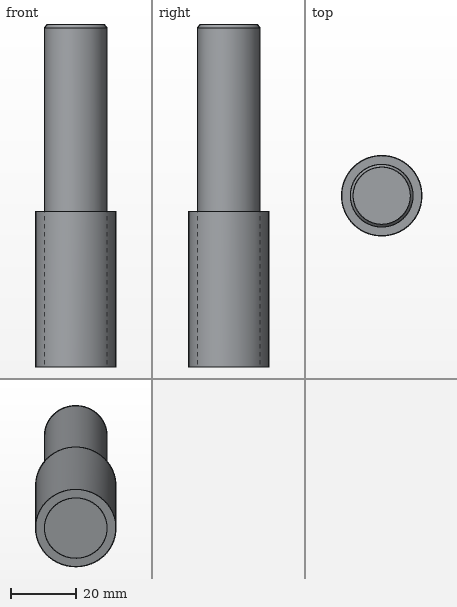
import cadquery as cq

total_height = 104.8
sleeve_diameter = 24.6
sleeve_height = 47.6
pin_diameter = 19.2
tip_chamfer_height = 1.0
tip_chamfer_width = 0.8


def make_pin():
    """Full-height round pin with a chamfered upper end."""
    radius = pin_diameter / 2
    tip_radius = radius - tip_chamfer_width
    return (
        cq.Workplane("XZ")
        .moveTo(0, 0)
        .lineTo(radius, 0)
        .lineTo(radius, total_height - tip_chamfer_height)
        .lineTo(tip_radius, total_height)
        .lineTo(0, total_height)
        .close()
        .revolve(360, (0, 0, 0), (0, 1, 0))
    )


def make_sleeve():
    """Plain sleeve around the lower part of the pin, bored to the pin diameter."""
    return (
        cq.Workplane("XY")
        .circle(sleeve_diameter / 2)
        .circle(pin_diameter / 2)
        .extrude(sleeve_height)
    )


pin = make_pin()
sleeve = make_sleeve()

result = cq.Compound.makeCompound([pin.val(), sleeve.val()])